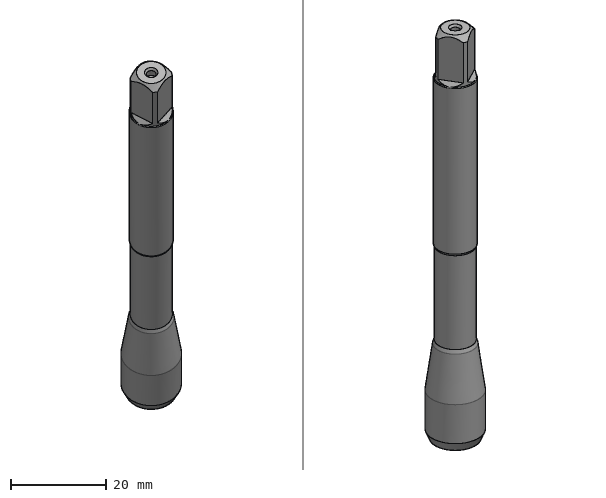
import cadquery as cq
import math

total_length = 100.0
lead_length = 2.2
land_top = 11.7
taper_top = 23.1
head_length = 24.0
neck_top = 46.9
shank_bottom = 47.4
shank_top = 87.8

head_diameter = 12.8
tip_diameter = 11.0
taper_top_diameter = 9.6
neck_diameter = 8.9
shank_diameter = 9.3
square_corner_diameter = 8.9
top_face_diameter = 6.2

square_width = 7.0
square_ramp_angle = 43.0

centre_diameter = 2.0
centre_mouth_diameter = 2.8
centre_depth = 2.0
centre_tip_angle = 120.0
countersink_angle = 75.0


def revolved(profile):
    """Revolve a list of (diameter, height) corners about the Z axis."""
    bottom_height = profile[0][1]
    top_height = profile[-1][1]
    outline = [(diameter / 2, height) for diameter, height in profile]
    points = [(0, bottom_height)] + outline + [(0, top_height)]
    return cq.Workplane("XZ").polyline(points).close().revolve(360, (0, 0, 0), (0, 1, 0))


def make_head():
    """Lead chamfer, cylindrical land, back taper and small chamfer down to the neck."""
    return revolved([
        (tip_diameter, 0),
        (head_diameter, lead_length),
        (head_diameter, land_top),
        (taper_top_diameter, taper_top),
        (neck_diameter, head_length),
    ])


def make_shank_blank():
    """Round neck and shank, with the turned end from which the square is cut."""
    corner_chamfer = (shank_diameter - square_corner_diameter) / 2
    end_chamfer = (square_corner_diameter - top_face_diameter) / 2
    return revolved([
        (neck_diameter, head_length),
        (neck_diameter, neck_top),
        (shank_diameter, shank_bottom),
        (shank_diameter, shank_top),
        (square_corner_diameter, shank_top + corner_chamfer),
        (square_corner_diameter, total_length - end_chamfer),
        (top_face_diameter, total_length),
    ])


def make_flat_cutter():
    """Material beside one flat of the square, with a sloped ramp at its lower end."""
    flat = square_width / 2
    shank_radius = shank_diameter / 2
    outer = shank_diameter
    slope = math.tan(math.radians(square_ramp_angle))
    ramp_head = shank_top + (shank_radius - flat) * slope
    ramp_foot = ramp_head - (outer - flat) * slope
    outline = [(flat, total_length), (flat, ramp_head), (outer, ramp_foot), (outer, total_length)]
    return cq.Workplane("XZ").polyline(outline).close().extrude(shank_radius, both=True)


def make_centre_hole():
    """Blind hole with a conical bottom and a countersunk mouth."""
    countersink_depth = (
        (centre_mouth_diameter - centre_diameter) / 2 / math.tan(math.radians(countersink_angle / 2))
    )
    tip_depth = centre_diameter / 2 / math.tan(math.radians(centre_tip_angle / 2))
    hole_bottom = total_length - centre_depth
    outline = [
        (0, hole_bottom - tip_depth),
        (centre_diameter / 2, hole_bottom),
        (centre_diameter / 2, total_length - countersink_depth),
        (centre_mouth_diameter / 2, total_length),
        (0, total_length),
    ]
    return cq.Workplane("XZ").polyline(outline).close().revolve(360, (0, 0, 0), (0, 1, 0))


def make_shank():
    """Neck and shank with a four-sided drive and a centre hole at the top."""
    shank = make_shank_blank()
    flat_cutter = make_flat_cutter()
    for side in range(4):
        shank = shank.cut(flat_cutter.rotate((0, 0, 0), (0, 0, 1), side * 90))
    return shank.cut(make_centre_hole())


head = make_head()
shank = make_shank()

result = cq.Compound.makeCompound([head.val(), shank.val()])